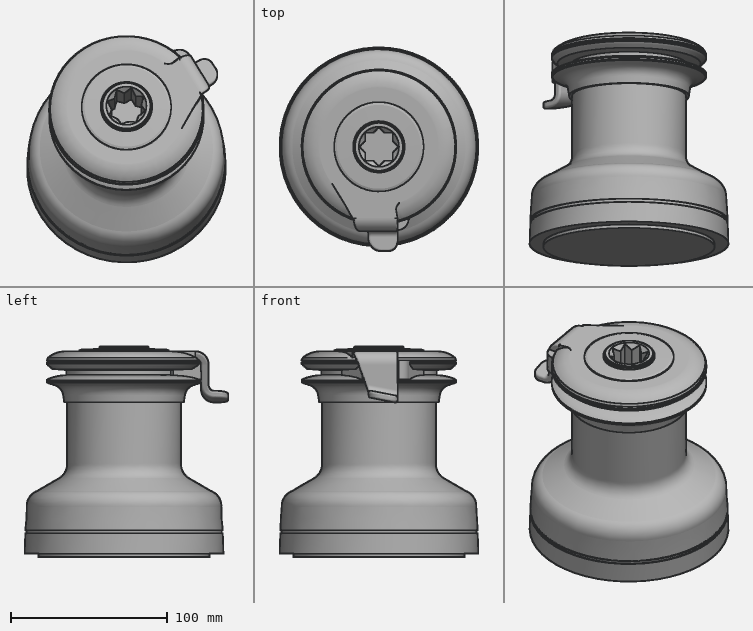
import cadquery as cq
import math

total_height = 134.7
overall_depth = 130.38

foot_radius = 109.5 / 2
foot_height = 2.2
skirt_radius = 127.27 / 2
skirt_top_radius = 63.2
groove_radius = 124.94 / 2
groove_bottom = 15.2
groove_top = 17.3
shoulder_radius = 62.3
shoulder_start = 31.9
slope_outer_radius = 55.4
slope_start = 42.4
slope_inner_radius = 41.5
slope_end = 50.5
shoulder_bulge = 2.1
drum_foot_bulge = 1.5
drum_radius = 73 / 2
drum_start = 60.0
drum_top = 98.9

rim_radius = 99 / 2
collar_bottom_radius = 38.3
collar_top_radius = 39.0
collar_top = 103.5
flare_radius = 44.6
flare_top = 109.9
flare_bulge = 1.3
lower_rim_bottom = 111.3
lower_rim_top = 113.2
lower_jaw_edge_radius = 45.5
lower_jaw_edge = 115.0
lower_jaw_edge_bulge = 0.2
lower_jaw_top = 116.4
lower_jaw_bulge = 0.3
jaw_neck_radius = 74 / 2
jaw_neck_top = 119.5
upper_jaw_bottom = 120.2
upper_jaw_flat_radius = 45.8
upper_jaw_edge_radius = 48.4
upper_jaw_edge = 122.4
upper_rim_bottom = 123.6
upper_jaw_top = 124.2
gap_inner_radius = 32.0
rim_bevel = 0.7

cap_bottom = 125.0
cap_rim_top = 127.4
cap_rim_top_radius = 48.7
cap_flat_radius = 38.1
cap_top = 131.6
cap_dome_bulge = 1.0
disc_radius = 28.6
disc_top_radius = 26.8
disc_edge_height = 0.6
disc_top = 133.1
boss_radius = 31.9 / 2
boss_chamfer = 0.7
boss_groove_radius = 16.5
boss_groove_depth = 0.5

socket_tip_radius = 12.5
socket_mouth_radius = 12.85
socket_cone_depth = 3.5
socket_depth = 25.0

arm_thickness = 5.0
arm_outer_y = -54.1
arm_inner_y = arm_outer_y + arm_thickness
arm_bend_radius = 8.5
arm_inner_bend_radius = arm_bend_radius - arm_thickness
arm_bend_start_y = arm_outer_y + arm_bend_radius
arm_right_x = 11.9
arm_top_left_x = -16.9
arm_knee = (-13.1, cap_top - arm_bend_radius)
arm_left_start_angle = 205.0
arm_join_left = (-21.6, -37.1)
arm_join_right_x = 17.0
arm_join_right = (arm_join_right_x, -math.sqrt(cap_flat_radius**2 - arm_join_right_x**2))
arm_throat = (arm_right_x - 1.0, -40.0)
arm_throat_bulge = 1.5
arm_plate_bottom = 125.6
arm_split_height = 114.0
arm_edge_round = 1.4

lip_tilt = 11.0
lip_tilt_x = 2.0
lip_bottom = 100.4
lip_thickness = 4.5
lip_top = lip_bottom + lip_thickness
lip_tip_y = skirt_radius - overall_depth
lip_left_x = -6.6
lip_left_top = 105.0
lip_side_blend = 12.0
lip_left_corner = 8.0
lip_right_corner = 6.0

stripper_bottom = 113.6
stripper_top = 125.7
stripper_back_y = -20.0
stripper_left_back = (-21.9, -29.8)
stripper_left_corner = (-23.7, -31.5)
stripper_left_front = (-10.5, arm_inner_y - 0.1)
stripper_front = (0, -51.5)
stripper_nose_start = (12.6, -53.2)
stripper_nose_end = (18.9, -47.0)
stripper_nose_bulge = 1.5
stripper_right_back = (28.7, -24.5)

blank_size = 200.0

half_diagonal = math.sqrt(0.5)


def arc_middle(start, end, bulge):
    """Point off the middle of a chord, `bulge` to the left of start -> end."""
    dx = end[0] - start[0]
    dy = end[1] - start[1]
    length = math.hypot(dx, dy)
    middle_x = (start[0] + end[0]) / 2 - bulge * dy / length
    middle_y = (start[1] + end[1]) / 2 + bulge * dx / length
    return (middle_x, middle_y)


def make_body():
    """Revolved base, drum, jaws and cap dome; profile points are (radius, height)."""
    shoulder = (shoulder_radius, shoulder_start)
    slope_outer = (slope_outer_radius, slope_start)
    slope_inner = (slope_inner_radius, slope_end)
    drum_foot = (drum_radius, drum_start)
    collar = (collar_top_radius, collar_top)
    flare = (flare_radius, flare_top)
    lower_rim = (rim_radius, lower_rim_top)
    lower_jaw = (jaw_neck_radius, lower_jaw_top)
    lower_jaw_bend = (lower_jaw_edge_radius, lower_jaw_edge)
    cap_rim = (cap_rim_top_radius, cap_rim_top)
    cap_flat = (cap_flat_radius, cap_top)
    profile = (
        cq.Workplane("XZ")
        .moveTo(0, 0)
        .lineTo(foot_radius, 0)
        .lineTo(foot_radius, foot_height)
        .lineTo(skirt_radius, foot_height)
        .lineTo(skirt_top_radius, groove_bottom)
        .lineTo(groove_radius, groove_bottom)
        .lineTo(groove_radius, groove_top)
        .lineTo(skirt_top_radius, groove_top)
        .lineTo(*shoulder)
        .threePointArc(arc_middle(shoulder, slope_outer, -shoulder_bulge), slope_outer)
        .lineTo(*slope_inner)
        .threePointArc(arc_middle(slope_inner, drum_foot, drum_foot_bulge), drum_foot)
        .lineTo(drum_radius, drum_top)
        .lineTo(collar_bottom_radius, drum_top)
        .lineTo(*collar)
        .threePointArc(arc_middle(collar, flare, flare_bulge), flare)
        .lineTo(rim_radius - rim_bevel, lower_rim_bottom)
        .lineTo(rim_radius, lower_rim_bottom + rim_bevel)
        .lineTo(*lower_rim)
        .threePointArc(arc_middle(lower_rim, lower_jaw_bend, -lower_jaw_edge_bulge), lower_jaw_bend)
        .threePointArc(arc_middle(lower_jaw_bend, lower_jaw, -lower_jaw_bulge), lower_jaw)
        .lineTo(jaw_neck_radius, jaw_neck_top)
        .lineTo(upper_jaw_flat_radius, upper_jaw_bottom)
        .lineTo(upper_jaw_edge_radius, upper_jaw_edge)
        .lineTo(rim_radius, upper_rim_bottom)
        .lineTo(rim_radius, upper_jaw_top)
        .lineTo(gap_inner_radius, upper_jaw_top)
        .lineTo(gap_inner_radius, cap_bottom)
        .lineTo(rim_radius - rim_bevel, cap_bottom)
        .lineTo(rim_radius, cap_bottom + rim_bevel)
        .lineTo(*cap_rim)
        .threePointArc(arc_middle(cap_rim, cap_flat, -cap_dome_bulge), cap_flat)
        .lineTo(disc_radius, cap_top)
        .lineTo(disc_radius, cap_top + disc_edge_height)
        .lineTo(disc_top_radius, cap_top + 2 * disc_edge_height)
        .lineTo(boss_groove_radius, disc_top)
        .lineTo(boss_groove_radius, disc_top - boss_groove_depth)
        .lineTo(boss_radius, disc_top - boss_groove_depth)
        .lineTo(boss_radius, total_height - boss_chamfer)
        .lineTo(boss_radius - boss_chamfer, total_height)
        .lineTo(0, total_height)
        .close()
    )
    return profile.revolve(360, (0, 0, 0), (0, 1, 0))


def make_socket():
    """Eight-pointed handle socket with a conical mouth."""
    side = socket_tip_radius * math.sqrt(2)
    floor = total_height - socket_depth
    square = cq.Workplane("XY").workplane(offset=floor).rect(side, side).extrude(socket_depth)
    star = square.union(square.rotate((0, 0, 0), (0, 0, 1), 45))
    valley_radius = side / 2 / math.cos(math.pi / 8)
    cone = cq.Solid.makeCone(
        valley_radius,
        socket_mouth_radius,
        socket_cone_depth,
        pnt=cq.Vector(0, 0, total_height - socket_cone_depth),
    )
    return star.union(cq.Workplane(cone))


def make_stripper():
    """Block that fills the rope groove behind the arm, with a rounded nose on its right."""
    outline = (
        cq.Workplane("XY")
        .workplane(offset=stripper_bottom)
        .moveTo(0, stripper_back_y)
        .lineTo(*stripper_left_back)
        .lineTo(*stripper_left_corner)
        .lineTo(*stripper_left_front)
        .lineTo(*stripper_front)
        .lineTo(*stripper_nose_start)
        .threePointArc(
            arc_middle(stripper_nose_start, stripper_nose_end, -stripper_nose_bulge),
            stripper_nose_end,
        )
        .lineTo(*stripper_right_back)
        .close()
    )
    return outline.extrude(stripper_top - stripper_bottom)


def make_arm_plate():
    """Flat top of the arm, flush with the cap and running out from it."""
    left_start = (
        cap_flat_radius * math.cos(math.radians(arm_left_start_angle)),
        cap_flat_radius * math.sin(math.radians(arm_left_start_angle)),
    )
    plate = (
        cq.Workplane("XY")
        .workplane(offset=arm_plate_bottom)
        .moveTo(*left_start)
        .lineTo(*arm_join_left)
        .lineTo(arm_top_left_x, arm_bend_start_y)
        .lineTo(arm_right_x, arm_bend_start_y)
        .lineTo(*arm_throat)
        .threePointArc(arc_middle(arm_throat, arm_join_right, arm_throat_bulge), arm_join_right)
        .lineTo(0, 0)
        .close()
    )
    return plate.extrude(cap_top - arm_plate_bottom)


def bend_middle(center, radius, side_y, side_z):
    """Middle of a quarter bend in the YZ plane; the sides are +1 or -1."""
    return (
        center[0] + side_y * radius * half_diagonal,
        center[1] + side_z * radius * half_diagonal,
    )


def make_hook():
    """Upper bend and vertical wall of the arm, as a wide blank."""
    center = (arm_bend_start_y, cap_top - arm_bend_radius)
    profile = (
        cq.Workplane("YZ")
        .moveTo(arm_bend_start_y, cap_top)
        .threePointArc(bend_middle(center, arm_bend_radius, -1, 1), (arm_outer_y, center[1]))
        .lineTo(arm_outer_y, arm_split_height)
        .lineTo(arm_inner_y, arm_split_height)
        .lineTo(arm_inner_y, center[1])
        .threePointArc(
            bend_middle(center, arm_inner_bend_radius, -1, 1),
            (arm_bend_start_y, cap_top - arm_thickness),
        )
        .close()
    )
    return profile.extrude(blank_size / 2, both=True)


def make_lip():
    """Lower bend and outward lip as a wide blank, tilted about Y so its right side hangs lower."""
    bend_end_y = arm_outer_y - arm_inner_bend_radius
    outer_center = (bend_end_y, lip_bottom + arm_bend_radius)
    inner_center = (bend_end_y, lip_top + arm_inner_bend_radius)
    profile = (
        cq.Workplane("YZ")
        .moveTo(arm_inner_y, cap_top)
        .lineTo(arm_inner_y, outer_center[1])
        .threePointArc(bend_middle(outer_center, arm_bend_radius, 1, -1), (bend_end_y, lip_bottom))
        .lineTo(lip_tip_y, lip_bottom)
        .lineTo(lip_tip_y, lip_top)
        .lineTo(bend_end_y, lip_top)
        .threePointArc(
            bend_middle(inner_center, arm_inner_bend_radius, 1, -1),
            (arm_outer_y, inner_center[1]),
        )
        .lineTo(arm_outer_y, cap_top)
        .close()
    )
    lip = profile.extrude(blank_size / 2, both=True)
    lip = lip.rotate((lip_tilt_x, 0, lip_bottom), (lip_tilt_x, 1, lip_bottom), lip_tilt)
    below_split = cq.Workplane("XY").rect(blank_size, blank_size).extrude(arm_split_height)
    return lip.intersect(below_split)


def make_arm_front_trim():
    """Tapering outline of the arm in the XZ plane."""
    outline = (
        cq.Workplane("XZ")
        .moveTo(arm_top_left_x, cap_top)
        .lineTo(arm_right_x, cap_top)
        .lineTo(arm_right_x, 0)
        .lineTo(lip_left_x, 0)
        .lineTo(lip_left_x, lip_left_top)
        .lineTo(*arm_knee)
        .close()
        .extrude(blank_size / 2)
    )
    corner = cq.NearestToPointSelector((lip_left_x, -blank_size / 4, lip_left_top))
    return outline.edges("|Y").edges(corner).fillet(lip_side_blend)


def round_lip_corner(arm, x, radius):
    """Round the corner of the lip tip at the given X."""
    corner = cq.NearestToPointSelector((x, lip_tip_y, (lip_bottom + lip_top) / 2))
    return arm.edges(corner).fillet(radius)


def make_arm():
    """Bent arm trimmed to its front outline, with a rounded tip and soft edges."""
    arm = make_hook().union(make_lip()).intersect(make_arm_front_trim())
    arm = round_lip_corner(arm, lip_left_x, lip_left_corner)
    arm = round_lip_corner(arm, arm_right_x, lip_right_corner)
    for wall_y in (arm_outer_y, arm_inner_y):
        wall_edge = cq.NearestToPointSelector((arm_right_x, wall_y, arm_split_height))
        arm = arm.edges(wall_edge).fillet(arm_edge_round)
    return arm


result = (
    make_body()
    .union(make_stripper())
    .union(make_arm_plate())
    .union(make_arm())
    .cut(make_socket())
)